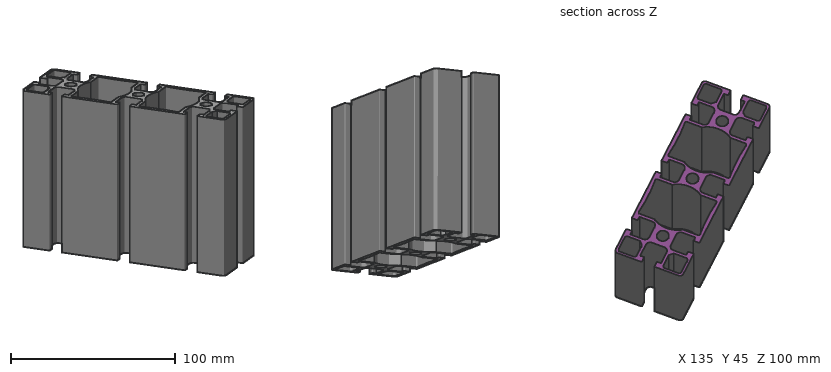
import cadquery as cq

module_count = 3
total_width = 135.0
module = total_width / module_count
length = 100.0
corner_radius = 2.3

mouth_width = 8.1
slot_lip = 4.2
lip_radius = 0.4
slot_width = 13.5
slot_depth = 15.3
slot_root_radius = 2.7

bore_diameter = 7.2

corner_wall = 1.9
chamber_end = 13.5
chamber_radius = 1.4
chamber_chamfer = 2.3

box_width = 26.7
box_wall = 2.3
box_wall_middle = 3.0
crown_width = 8.4
box_radius = 0.8
box_bore_radius = 16.3

half_width = total_width / 2
half_depth = module / 2
module_centres = [(i - (module_count - 1) / 2) * module for i in range(module_count)]
box_centres = [(a + b) / 2 for a, b in zip(module_centres, module_centres[1:])]


def bar(x_min, x_max, y_min, y_max):
    """Full-length rectangular bar between the given limits."""
    return (
        cq.Workplane("XY")
        .center((x_min + x_max) / 2, (y_min + y_max) / 2)
        .rect(x_max - x_min, y_max - y_min)
        .extrude(length)
    )


def slot():
    """T-slot entering the +Y face of a module centred on the Z axis."""
    slot_top = half_depth - slot_lip
    slot_floor = half_depth - slot_depth
    groove = bar(-slot_width / 2, slot_width / 2, slot_floor, slot_top)
    groove = groove.edges("|Z and <Y").fillet(slot_root_radius)
    mouth = bar(-mouth_width / 2, mouth_width / 2, slot_top, half_depth)
    return groove.union(mouth)


def lip_edges():
    """Selector for the edges at every slot mouth, between the flanks of the groove behind it."""
    reach = (mouth_width + slot_width) / 4
    near = (slot_lip + slot_depth) / 2
    box = cq.selectors.BoxSelector
    selector = box((half_width - near, -reach, 0), (half_width + near, reach, length))
    selector = selector + box((-half_width - near, -reach, 0), (-half_width + near, reach, length))
    for x in module_centres:
        for face_y in (-half_depth, half_depth):
            lower = (x - reach, face_y - near, 0)
            upper = (x + reach, face_y + near, length)
            selector = selector + box(lower, upper)
    return selector


def corner_chamber():
    """Chamber in the (+X, +Y) corner, chamfered towards the slots."""
    chamber = bar(
        half_width - chamber_end,
        half_width - corner_wall,
        half_depth - chamber_end,
        half_depth - corner_wall,
    )
    inner_corner = cq.selectors.NearestToPointSelector((0, 0, length / 2))
    chamber = chamber.edges("|Z").edges(inner_corner).chamfer(chamber_chamfer)
    return chamber.edges("|Z and (>X or >Y)").fillet(chamber_radius)


def box_chamber():
    """Large chamber with crowned outer walls and a round bore through it."""
    half_box = box_width / 2
    half_crown = crown_width / 2
    corner_y = half_depth - box_wall
    crown_y = half_depth - box_wall_middle
    upper_right_points = [(half_box, corner_y), (half_crown, crown_y)]
    upper = upper_right_points + [(-x, y) for x, y in reversed(upper_right_points)]
    lower = [(-x, -y) for x, y in upper]
    chamber = (
        cq.Workplane("XY")
        .polyline(upper + lower)
        .close()
        .extrude(length)
        .edges("|Z and (<X or >X)")
        .fillet(box_radius)
    )
    return chamber.union(cq.Workplane("XY").circle(box_bore_radius).extrude(length))


profile = bar(-half_width, half_width, -half_depth, half_depth)
profile = profile.edges("|Z").fillet(corner_radius)

for x in module_centres:
    long_slot = slot().translate((x, 0, 0))
    profile = profile.cut(long_slot).cut(long_slot.mirror("XZ"))

end_slot = slot().rotate((0, 0, 0), (0, 0, 1), -90)
end_slot = end_slot.translate((module_centres[-1], 0, 0))
profile = profile.cut(end_slot).cut(end_slot.mirror("YZ"))

profile = profile.edges("|Z").edges(lip_edges()).fillet(lip_radius)

bores = cq.Workplane("XY").pushPoints([(x, 0) for x in module_centres])
profile = profile.cut(bores.circle(bore_diameter / 2).extrude(length))

upper_right = corner_chamber()
upper_pair = upper_right.union(upper_right.mirror("YZ"))
profile = profile.cut(upper_pair).cut(upper_pair.mirror("XZ"))

for x in box_centres:
    profile = profile.cut(box_chamber().translate((x, 0, 0)))

result = profile